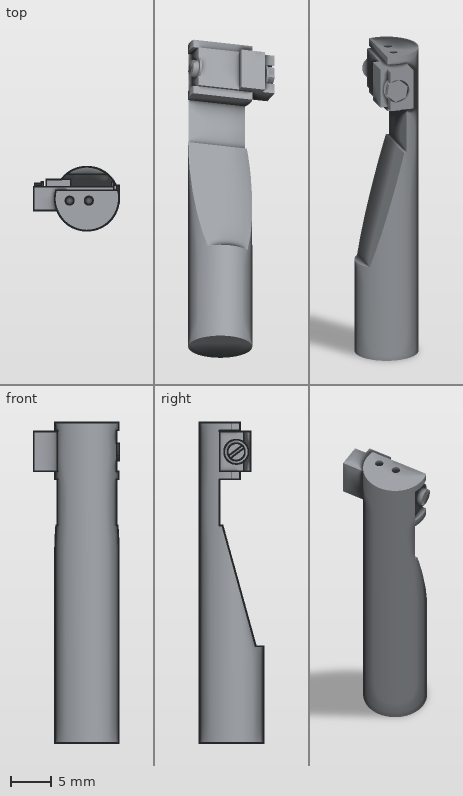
import cadquery as cq

SHANK_RADIUS = 4.0
SHANK_LENGTH = 40.0
HEAD_FLAT_Y = 1.1
NECK_Y = -1.5
HEAD_BOTTOM_Z = 32.9
NECK_BOTTOM_Z = 27.15
RAMP_TOP_Y = -1.1
RAMP_BOTTOM_Y = 3.05
RAMP_BOTTOM_Z = 12.1

SLOT_BOTTOM_Z = 33.9
SLOT_TOP_Z = 39.0
HOLE_RADIUS = 0.5
HOLE_Y = -0.25
HOLE_X_POSITIONS = (-2.15, 0.25)

BLOCK_LEFT_X = -6.65
BLOCK_RIGHT_X = 3.3
BLOCK_OUTER_Y = 1.5
BLOCK_HEIGHT = 5.0
BLOCK_TOP_Z = SLOT_BOTTOM_Z + BLOCK_HEIGHT
PLATE_LEFT_X = -5.1
PLATE_RIGHT_X = -2.0
PLATE_OUTER_Y = 2.4

BOLT_Y = 0.6
BOLT_Z = 36.3
BOLT_RADIUS = 0.5
BOLT_HEAD_RADIUS = 1.1
BOLT_HEAD_HEIGHT = 0.7
DRIVE_SLOT_WIDTH = 0.4
DRIVE_SLOT_DEPTH = 0.3
DRIVE_SLOT_TILT = 37.0
WASHER_RADIUS = 1.5
WASHER_THICKNESS = 0.25
NUT_CORNER_RADIUS = 1.45
NUT_THICKNESS = 0.85
NUT_TURN = 20.0
NUT_INSET = 0.1

NUT_LEFT_X = BLOCK_LEFT_X + NUT_INSET
LEFT_WASHER_X = NUT_LEFT_X + NUT_THICKNESS
LEFT_RECESS_END_X = LEFT_WASHER_X + WASHER_THICKNESS
RIGHT_WASHER_X = BLOCK_RIGHT_X - WASHER_THICKNESS


def box_between(x_range, y_range, z_range):
    """Box spanning the given ranges."""
    lows, highs = zip(x_range, y_range, z_range)
    size = [high - low for low, high in zip(lows, highs)]
    return cq.Workplane("XY").box(*size, centered=False).translate(lows)


def bolt_plane(x):
    """Workplane facing +X, centred on the bolt axis."""
    return cq.Workplane("YZ", origin=(x, BOLT_Y, BOLT_Z))


def bolt_cylinder(start_x, end_x, radius):
    return bolt_plane(start_x).circle(radius).extrude(end_x - start_x)


def make_shank():
    bar = cq.Workplane("XY").circle(SHANK_RADIUS).extrude(SHANK_LENGTH)
    side_profile = [
        (-SHANK_RADIUS, 0),
        (SHANK_RADIUS, 0),
        (SHANK_RADIUS, RAMP_BOTTOM_Z),
        (RAMP_BOTTOM_Y, RAMP_BOTTOM_Z),
        (RAMP_TOP_Y, NECK_BOTTOM_Z),
        (NECK_Y, NECK_BOTTOM_Z),
        (NECK_Y, HEAD_BOTTOM_Z),
        (HEAD_FLAT_Y, HEAD_BOTTOM_Z),
        (HEAD_FLAT_Y, SHANK_LENGTH),
        (-SHANK_RADIUS, SHANK_LENGTH),
    ]
    envelope = cq.Workplane("YZ").polyline(side_profile).close().extrude(SHANK_RADIUS, both=True)
    slot = box_between(
        (-SHANK_RADIUS, SHANK_RADIUS), (NECK_Y, SHANK_RADIUS), (SLOT_BOTTOM_Z, SLOT_TOP_Z)
    )
    holes = (
        cq.Workplane("XY", origin=(0, 0, SLOT_TOP_Z))
        .pushPoints([(x, HOLE_Y) for x in HOLE_X_POSITIONS])
        .circle(HOLE_RADIUS)
        .extrude(SHANK_LENGTH - SLOT_TOP_Z)
    )
    return bar.intersect(envelope).cut(slot).cut(holes)


def make_block():
    block = box_between(
        (BLOCK_LEFT_X, BLOCK_RIGHT_X), (NECK_Y, BLOCK_OUTER_Y), (SLOT_BOTTOM_Z, BLOCK_TOP_Z)
    )
    bore = bolt_cylinder(BLOCK_LEFT_X, BLOCK_RIGHT_X, BOLT_RADIUS)
    nut_recess = bolt_cylinder(BLOCK_LEFT_X, LEFT_RECESS_END_X, WASHER_RADIUS)
    washer_recess = bolt_cylinder(RIGHT_WASHER_X, BLOCK_RIGHT_X, WASHER_RADIUS)
    return block.cut(bore).cut(nut_recess).cut(washer_recess)


def make_plate():
    return box_between(
        (PLATE_LEFT_X, PLATE_RIGHT_X), (BLOCK_OUTER_Y, PLATE_OUTER_Y), (SLOT_BOTTOM_Z, BLOCK_TOP_Z)
    )


def make_bolt():
    stem = bolt_cylinder(NUT_LEFT_X, BLOCK_RIGHT_X, BOLT_RADIUS)
    head_end_x = BLOCK_RIGHT_X + BOLT_HEAD_HEIGHT
    head = bolt_cylinder(BLOCK_RIGHT_X, head_end_x, BOLT_HEAD_RADIUS)
    drive_slot = (
        bolt_plane(head_end_x)
        .transformed(rotate=(0, 0, DRIVE_SLOT_TILT))
        .rect(2 * BOLT_HEAD_RADIUS, DRIVE_SLOT_WIDTH)
        .extrude(-DRIVE_SLOT_DEPTH)
    )
    return stem.union(head).cut(drive_slot)


def make_nut():
    hexagon = bolt_plane(NUT_LEFT_X).polygon(6, 2 * NUT_CORNER_RADIUS).extrude(NUT_THICKNESS)
    axis_start = (0, BOLT_Y, BOLT_Z)
    axis_end = (1, BOLT_Y, BOLT_Z)
    bore = bolt_cylinder(NUT_LEFT_X, LEFT_WASHER_X, BOLT_RADIUS)
    return hexagon.rotate(axis_start, axis_end, -NUT_TURN).cut(bore)


def make_washer(start_x):
    return bolt_plane(start_x).circle(WASHER_RADIUS).circle(BOLT_RADIUS).extrude(WASHER_THICKNESS)


shank = make_shank()
block = make_block()
plate = make_plate()
bolt = make_bolt()
nut = make_nut()
washers = [make_washer(x) for x in (LEFT_WASHER_X, RIGHT_WASHER_X)]

result = cq.Compound.makeCompound(
    [
        shank.val(),
        block.val(),
        plate.val(),
        bolt.val(),
        nut.val(),
        *[washer.val() for washer in washers],
    ]
)